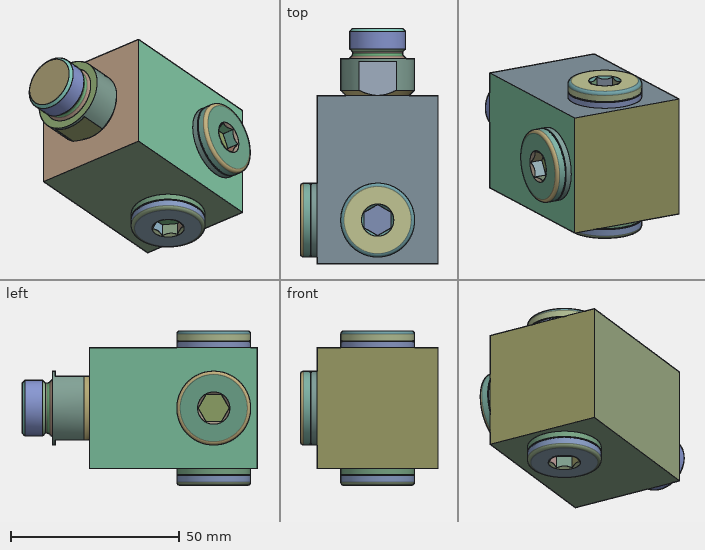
import cadquery as cq
import math

block_width = 36.0
block_length = 50.0
port_inset = 13.0

plug_diameter = 22.0
plug_height = 5.0
plug_edge_radius = 1.0
plug_groove_diameter = 21.0
plug_groove_width = 0.25
plug_groove_height = 1.75
socket_across_flats = 8.0
socket_depth = 4.0
socket_countersink_diameter = 9.6
socket_countersink_angle = 90.0

collar_diameter = 22.0
collar_length = 11.0
collar_chamfer = 1.6
wrench_across_flats = 19.0
wrench_flange_thickness = 0.9
stud_length = 20.0
thread_diameter = 16.66
thread_start = 13.9
neck_diameter = 14.95
neck_start = 12.6
neck_blend_radius = 1.2

block_front_y = -port_inset
block_back_y = block_front_y + block_length


def make_block():
    block = cq.Workplane("XY").box(block_width, block_length, block_width)
    return block.translate((0, (block_front_y + block_back_y) / 2, 0))


def make_plug():
    """Plug standing on Z = 0 and pointing up, with socket corners along Y."""
    plug = cq.Workplane("XY").circle(plug_diameter / 2).extrude(plug_height)
    plug = plug.faces(">Z").edges().fillet(plug_edge_radius)

    groove = (
        cq.Workplane("XY", origin=(0, 0, plug_groove_height))
        .circle(plug_diameter / 2)
        .circle(plug_groove_diameter / 2)
        .extrude(plug_groove_width)
    )

    across_corners = socket_across_flats / math.cos(math.radians(30))
    socket = (
        cq.Workplane("XY", origin=(0, 0, plug_height))
        .transformed(rotate=(0, 0, 90))
        .polygon(6, across_corners)
        .extrude(-socket_depth)
    )

    cone_radius = socket_countersink_diameter / 2
    cone_depth = cone_radius / math.tan(math.radians(socket_countersink_angle / 2))
    countersink = (
        cq.Workplane("XZ")
        .moveTo(0, plug_height)
        .lineTo(cone_radius, plug_height)
        .lineTo(0, plug_height - cone_depth)
        .close()
        .revolve(360, (0, 0, 0), (0, 1, 0))
    )
    land_depth = cone_depth * (1 - socket_across_flats / 2 / cone_radius)
    countersink = countersink.intersect(
        cq.Workplane("XY", origin=(0, 0, plug_height))
        .circle(cone_radius)
        .extrude(-land_depth)
    )
    return plug.cut(groove).cut(socket).cut(countersink)


def make_stud():
    """Turned stud along +Y, with a pair of wrench flats facing up and down."""
    collar_radius = collar_diameter / 2
    thread_radius = thread_diameter / 2
    neck_radius = neck_diameter / 2
    thread_chamfer = thread_radius - neck_radius

    full_turn = math.radians(45)
    half_turn = full_turn / 2
    blend_mid = (
        neck_radius + neck_blend_radius * (1 - math.cos(half_turn)),
        neck_start - neck_blend_radius * math.sin(half_turn),
    )
    blend_end = (
        neck_radius + neck_blend_radius * (1 - math.cos(full_turn)),
        neck_start - neck_blend_radius * math.sin(full_turn),
    )
    cone_base_radius = blend_end[0] + blend_end[1] - collar_length

    stud = (
        cq.Workplane("XY")
        .moveTo(0, 0)
        .lineTo(collar_radius - collar_chamfer, 0)
        .lineTo(collar_radius, collar_chamfer)
        .lineTo(collar_radius, collar_length)
        .lineTo(cone_base_radius, collar_length)
        .lineTo(*blend_end)
        .threePointArc(blend_mid, (neck_radius, neck_start))
        .lineTo(neck_radius, thread_start - thread_chamfer)
        .lineTo(thread_radius, thread_start)
        .lineTo(thread_radius, stud_length - thread_chamfer)
        .lineTo(thread_radius - thread_chamfer, stud_length)
        .lineTo(0, stud_length)
        .close()
        .revolve(360, (0, 0, 0), (0, 1, 0))
    )

    flat_length = collar_length - wrench_flange_thickness
    flat_depth = (collar_diameter - wrench_across_flats) / 2
    for side in (1, -1):
        flat_center_z = side * (wrench_across_flats + flat_depth) / 2
        cutter = cq.Workplane("XY").box(collar_diameter, flat_length, flat_depth)
        stud = stud.cut(cutter.translate((0, flat_length / 2, flat_center_z)))
    return stud.translate((0, block_back_y, 0))


def make_part():
    part = make_block().union(make_stud())
    plug = make_plug().translate((0, 0, block_width / 2))
    for turn in (0, -90, 180):
        part = part.union(plug.rotate((0, 0, 0), (0, 1, 0), turn))
    return part


result = make_part()